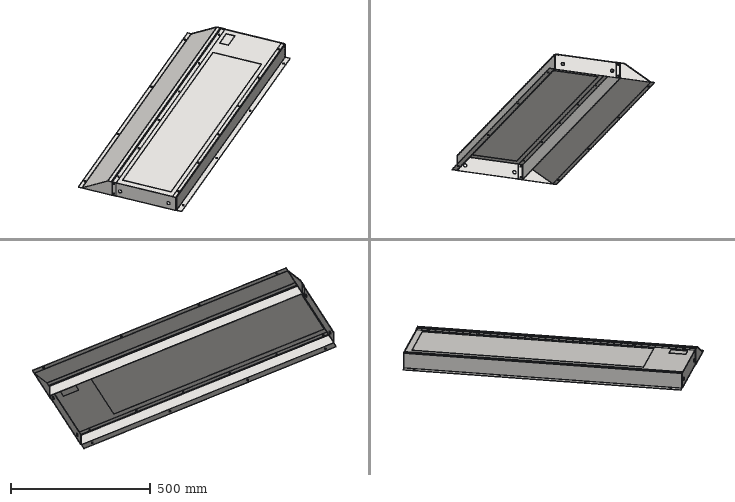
import cadquery as cq
import math

LENGTH = 1026.0
WIDTH = 401.0
HEIGHT = 60.0
SHEET = 1.5

BOX_LEFT = -71.0
BOX_RIGHT = 182.0
BOX_CENTRE = (BOX_LEFT + BOX_RIGHT) / 2
SIDE_CLEARANCE = 3.0
LID_RIGHT = BOX_RIGHT - SIDE_CLEARANCE
LIP_WIDTH = 16.0
LID_LENGTH = LENGTH - 2 * SHEET
RAIL_LENGTH = LID_LENGTH - 2 * SHEET
LID_UNDERSIDE = HEIGHT - SHEET

FLANGE_END = WIDTH / 2
SLOPE_ANGLE = 30.0
RAMP_CREST = -86.0
RAMP_GAP = 2.0
BEND_SHIFT = SHEET * math.tan(math.radians(SLOPE_ANGLE / 2))
SLOPE_RUN = (HEIGHT - SHEET) / math.tan(math.radians(SLOPE_ANGLE))
RAMP_FOOT = RAMP_CREST - SLOPE_RUN

FLOOR_HOLE_DIAMETER = 6.0
FLOOR_HOLE_COUNT = 4
FLOOR_HOLE_PITCH = 314.0
RAMP_FLOOR_HOLE_X = -193.0
RAIL_FLOOR_HOLE_X = 191.0

LID_HOLE_DIAMETER = 4.4
LID_HOLE_COUNT = 6
LID_HOLE_PITCH = 189.0
LID_HOLE_INSET = 10.0

OPENING_MARGIN = 25.0
WINDOW_WIDTH = 189.0
WINDOW_LENGTH = 850.0
LABEL_WIDTH = 34.0
LABEL_LENGTH = 62.0
OPENING_LEFT = BOX_CENTRE - WINDOW_WIDTH / 2
OPENING_END = LID_LENGTH / 2 - OPENING_MARGIN

CABLE_HOLE_DIAMETER = 12.0
CABLE_HOLE_SPACING = 189.0
CABLE_HOLE_HEIGHT = 25.0
GUSSET_HOLE_DIAMETER = 4.2
GUSSET_HOLE_INSET = 8.0
GUSSET_HOLE_X = BOX_LEFT + LIP_WIDTH / 2


def box_between(x_range, y_range, z_range):
    """Rectangular block between the given limits."""
    sizes = [high - low for low, high in (x_range, y_range, z_range)]
    corner = (x_range[0], y_range[0], z_range[0])
    return cq.Workplane("XY").box(*sizes, centered=False).translate(corner)


def extrude_along_y(points, length):
    """Solid with an XZ outline, centred on Y = 0."""
    return cq.Workplane("XZ").polyline(points).close().extrude(length / 2, both=True)


def row_of_holes(x, count, pitch, diameter):
    """Vertical cutters at one X, spaced evenly along Y about the middle."""
    first = -pitch * (count - 1) / 2
    points = [(x, first + i * pitch) for i in range(count)]
    return cq.Workplane("XY").pushPoints(points).circle(diameter / 2).extrude(HEIGHT)


def holes_along_y(points, diameter):
    """Cutters along the full length at the given XZ points."""
    return cq.Workplane("XZ").pushPoints(points).circle(diameter / 2).extrude(LENGTH / 2, both=True)


def gusset_holes():
    """Cutters for the screws that hold the gussets to the end plates."""
    heights = (GUSSET_HOLE_INSET, HEIGHT - GUSSET_HOLE_INSET)
    return holes_along_y([(GUSSET_HOLE_X, z) for z in heights], GUSSET_HOLE_DIAMETER)


def make_ramp():
    """Floor flange, slope and top strip in one sheet, closed by a gusset at each end."""
    strip_end = BOX_LEFT - RAMP_GAP
    sheet = extrude_along_y(
        [
            (-FLANGE_END, 0),
            (RAMP_FOOT + BEND_SHIFT, 0),
            (RAMP_CREST + BEND_SHIFT, LID_UNDERSIDE),
            (strip_end, LID_UNDERSIDE),
            (strip_end, HEIGHT),
            (RAMP_CREST, HEIGHT),
            (RAMP_FOOT, SHEET),
            (-FLANGE_END, SHEET),
        ],
        LENGTH,
    )
    gusset_outline = [
        (RAMP_FOOT + BEND_SHIFT, 0),
        (RAMP_CREST + BEND_SHIFT, LID_UNDERSIDE),
        (RAMP_CREST + BEND_SHIFT, HEIGHT),
        (BOX_LEFT + LIP_WIDTH, HEIGHT),
        (BOX_LEFT + LIP_WIDTH, 0),
    ]
    inside = box_between((-WIDTH, WIDTH), (-LID_LENGTH / 2, LID_LENGTH / 2), (0, HEIGHT))
    gussets = extrude_along_y(gusset_outline, LENGTH).cut(inside)
    floor_holes = row_of_holes(RAMP_FLOOR_HOLE_X, FLOOR_HOLE_COUNT, FLOOR_HOLE_PITCH, FLOOR_HOLE_DIAMETER)
    return sheet.union(gussets).cut(floor_holes).cut(gusset_holes())


def lid_holes():
    """Cutters for the two rows of screws that hold the lid to the rail lips."""
    left = row_of_holes(BOX_LEFT + LID_HOLE_INSET, LID_HOLE_COUNT, LID_HOLE_PITCH, LID_HOLE_DIAMETER)
    right = row_of_holes(BOX_RIGHT - LID_HOLE_INSET, LID_HOLE_COUNT, LID_HOLE_PITCH, LID_HOLE_DIAMETER)
    return left.union(right)


def make_front_rail():
    """Wall behind the ramp with a lip under the lid."""
    lip_end = BOX_LEFT + LIP_WIDTH
    wall_inside = BOX_LEFT + SHEET
    outline = [
        (BOX_LEFT, 0),
        (wall_inside, 0),
        (wall_inside, LID_UNDERSIDE - SHEET),
        (lip_end, LID_UNDERSIDE - SHEET),
        (lip_end, LID_UNDERSIDE),
        (BOX_LEFT, LID_UNDERSIDE),
    ]
    return extrude_along_y(outline, RAIL_LENGTH).cut(lid_holes())


def make_back_rail():
    """Wall with a lip under the lid and a floor flange turned outwards."""
    wall_inside = BOX_RIGHT - SHEET
    lip_end = BOX_RIGHT - LIP_WIDTH
    outline = [
        (wall_inside, 0),
        (FLANGE_END, 0),
        (FLANGE_END, SHEET),
        (BOX_RIGHT, SHEET),
        (BOX_RIGHT, LID_UNDERSIDE),
        (lip_end, LID_UNDERSIDE),
        (lip_end, LID_UNDERSIDE - SHEET),
        (wall_inside, LID_UNDERSIDE - SHEET),
    ]
    floor_holes = row_of_holes(RAIL_FLOOR_HOLE_X, FLOOR_HOLE_COUNT, FLOOR_HOLE_PITCH, FLOOR_HOLE_DIAMETER)
    return extrude_along_y(outline, RAIL_LENGTH).cut(floor_holes).cut(lid_holes())


def make_end_plate(side):
    """Plate that closes the box at one end; side is -1 or +1 along Y."""
    y_range = sorted((side * RAIL_LENGTH / 2, side * LID_LENGTH / 2))
    plate = box_between((BOX_LEFT + SIDE_CLEARANCE, LID_RIGHT), y_range, (0, LID_UNDERSIDE))
    cable_points = [
        (BOX_CENTRE + sign * CABLE_HOLE_SPACING / 2, CABLE_HOLE_HEIGHT) for sign in (-1, 1)
    ]
    return plate.cut(holes_along_y(cable_points, CABLE_HOLE_DIAMETER)).cut(gusset_holes())


def make_window():
    """Pane flush with the lid."""
    return box_between(
        (OPENING_LEFT, OPENING_LEFT + WINDOW_WIDTH),
        (-OPENING_END, -OPENING_END + WINDOW_LENGTH),
        (LID_UNDERSIDE, HEIGHT),
    )


def make_label():
    """Small panel flush with the lid, in line with the window's edge."""
    return box_between(
        (OPENING_LEFT, OPENING_LEFT + LABEL_WIDTH),
        (OPENING_END - LABEL_LENGTH, OPENING_END),
        (LID_UNDERSIDE, HEIGHT),
    )


def make_lid():
    """Flat cover with openings for the window and the label."""
    lid_ends = (-LID_LENGTH / 2, LID_LENGTH / 2)
    plate = box_between((BOX_LEFT, LID_RIGHT), lid_ends, (LID_UNDERSIDE, HEIGHT))
    return plate.cut(make_window()).cut(make_label()).cut(lid_holes())


ramp = make_ramp()
front_rail = make_front_rail()
back_rail = make_back_rail()
end_plates = [make_end_plate(side) for side in (-1, 1)]
lid = make_lid()
window = make_window()
label = make_label()

result = cq.Compound.makeCompound(
    [
        ramp.val(),
        front_rail.val(),
        back_rail.val(),
        *[plate.val() for plate in end_plates],
        lid.val(),
        window.val(),
        label.val(),
    ]
)